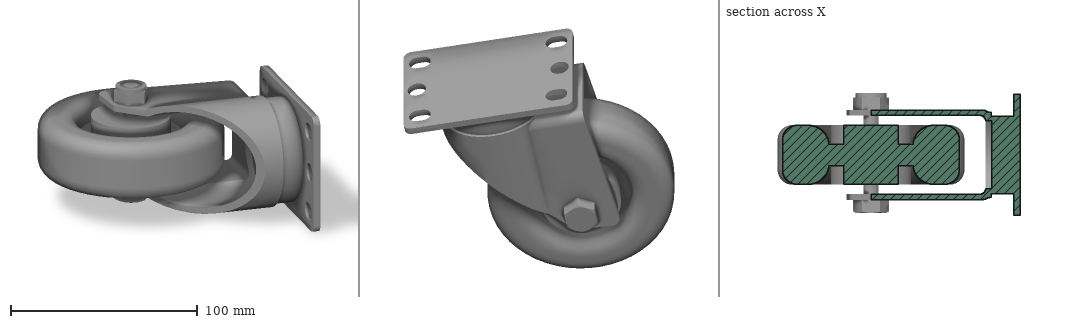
import cadquery as cq
import math


wheel_diameter = 100.0
wheel_radius = wheel_diameter / 2
wheel_half_width = 16.0
tread_round = 8.0
recess_radius = 27.4
recess_round = 10.1
recess_floor_z = wheel_half_width - recess_round
hub_diameter = 43.0
hub_radius = hub_diameter / 2

plate_length = 92.1
plate_height = 65.1
plate_thickness = 3.8
plate_corner_radius = 4.0
swivel_x = 35.0
plate_back_y = 79.9
plate_front_y = plate_back_y - plate_thickness
slot_length = 11.8
slot_width = 8.9
slot_offset_x = 37.2
slot_offset_z = 22.5
side_hole_diameter = 10.0
side_hole_offset_x = 38.9

neck_diameter = 57.0
fork_back_y = 64.5
fork_thickness = 3.1
fork_half_width = 24.1
bend_outer_radius = 5.1
bend_inner_radius = 3.1
shell_diameter = 60.1
shell_radius = shell_diameter / 2
shell_bore_diameter = 53.0
fork_left_x = -19.8
fork_bottom_y = -13.6
fork_top_left_x = -13.5
fork_tip_x = 5.2
fork_tip_y = -11.4
shell_right_x = swivel_x + shell_radius
shell_lip_y = 54.1
fork_corner_radius = 5.2

axle_diameter = 8.0
hex_across_flats = 16.5
hex_across_corners = hex_across_flats / math.cos(math.pi / 6)
nut_hex_height = 6.7
nut_top_z = 33.0
nut_recess_diameter = 12.0
nut_recess_depth = 0.5
head_height = 7.0
head_chamfer_height = 0.7


def cylinder_along_y(diameter, y_start, y_end):
    """Cylinder on the swivel axis between two Y levels."""
    return cq.Workplane("XZ", origin=(swivel_x, y_start, 0)).circle(diameter / 2).extrude(y_start - y_end)


def cylinder_along_z(diameter, z_start, z_end):
    """Cylinder on the wheel axle between two Z levels."""
    return cq.Workplane("XY").workplane(offset=z_start).circle(diameter / 2).extrude(z_end - z_start)


def make_wheel():
    """Revolve half of the wheel section, then mirror it about the middle plane."""
    shoulder_z = wheel_half_width - tread_round
    diagonal = math.sqrt(0.5)
    tread_mid = (
        wheel_radius - tread_round * (1 - diagonal),
        shoulder_z + tread_round * diagonal,
    )
    recess_mid = (
        recess_radius + recess_round * (1 - diagonal),
        recess_floor_z + recess_round * diagonal,
    )
    half = (
        cq.Workplane("XZ")
        .lineTo(wheel_radius, 0)
        .lineTo(wheel_radius, shoulder_z)
        .threePointArc(tread_mid, (wheel_radius - tread_round, wheel_half_width))
        .lineTo(recess_radius + recess_round, wheel_half_width)
        .threePointArc(recess_mid, (recess_radius, recess_floor_z))
        .lineTo(hub_radius, recess_floor_z)
        .lineTo(hub_radius, wheel_half_width)
        .lineTo(0, wheel_half_width)
        .close()
        .revolve(360, (0, 0, 0), (0, 1, 0))
    )
    return half.union(half.mirror("XY"))


def make_plate():
    """Rounded plate with two slots and one round hole along each short side."""
    slot_points = [(x, z) for x in (-slot_offset_x, slot_offset_x) for z in (-slot_offset_z, slot_offset_z)]
    hole_points = [(x, 0) for x in (-side_hole_offset_x, side_hole_offset_x)]
    plate = (
        cq.Workplane("XZ", origin=(swivel_x, plate_back_y, 0))
        .rect(plate_length, plate_height)
        .extrude(plate_thickness)
        .edges("|Y")
        .fillet(plate_corner_radius)
    )
    cutters = (
        cq.Workplane("XZ", origin=(swivel_x, plate_back_y, 0))
        .pushPoints(slot_points)
        .slot2D(slot_length, slot_width)
        .pushPoints(hole_points)
        .circle(side_hole_diameter / 2)
        .extrude(plate_thickness)
    )
    return plate.cut(cutters)


def channel_block(half_width, back_y, bend_radius):
    """Block from the fork's open side to the swivel axis, rounded along its back edges."""
    return (
        cq.Workplane("XY", origin=(0, 0, -half_width))
        .moveTo(fork_left_x, fork_bottom_y)
        .lineTo(swivel_x, fork_bottom_y)
        .lineTo(swivel_x, back_y)
        .lineTo(fork_left_x, back_y)
        .close()
        .extrude(2 * half_width)
        .edges("|X and >Y")
        .fillet(bend_radius)
    )


def fork_side_outline(z_start):
    """Side outline of half the fork, one shell radius deep, with its lower left corner rounded."""
    return (
        cq.Workplane("XY", origin=(0, 0, z_start))
        .moveTo(fork_left_x, fork_bottom_y)
        .lineTo(fork_tip_x, fork_tip_y)
        .lineTo(shell_right_x, shell_lip_y)
        .lineTo(shell_right_x, fork_back_y)
        .lineTo(fork_top_left_x, fork_back_y)
        .close()
        .extrude(shell_radius)
        .edges("|Z and <X")
        .fillet(fork_corner_radius)
    )


def make_fork():
    """U-shaped fork blended into a round shell; only the lower leg has a rounded tip."""
    outer = channel_block(fork_half_width, fork_back_y, bend_outer_radius).union(
        cylinder_along_y(shell_diameter, fork_bottom_y, fork_back_y)
    )
    inner = channel_block(
        fork_half_width - fork_thickness, fork_back_y - fork_thickness, bend_inner_radius
    ).union(cylinder_along_y(shell_bore_diameter, fork_bottom_y, fork_back_y))
    upper_outline = fork_side_outline(0)
    lower_outline = (
        fork_side_outline(-shell_radius)
        .edges(cq.selectors.NearestToPointSelector((fork_tip_x, fork_tip_y, -shell_radius / 2)))
        .fillet(fork_corner_radius)
    )
    outline = upper_outline.union(lower_outline)
    return outer.cut(inner).intersect(outline)


def hex_prism(z_start, height):
    """Hexagon on the axle with its corners pointing along Y."""
    return (
        cq.Workplane("XY")
        .workplane(offset=z_start)
        .transformed(rotate=(0, 0, 90))
        .polygon(6, hex_across_corners)
        .extrude(height)
    )


def make_lock_nut():
    """Hexagon with a round collar, recessed around the axle end."""
    hex_top_z = fork_half_width + nut_hex_height
    collar = cylinder_along_z(hex_across_flats, hex_top_z, nut_top_z)
    recess = cylinder_along_z(nut_recess_diameter, nut_top_z - nut_recess_depth, nut_top_z)
    return hex_prism(fork_half_width, nut_hex_height).union(collar).cut(recess)


def make_bolt_head():
    """Hexagon whose outer corners are cut by a cone."""
    bottom_z = -fork_half_width - head_height
    envelope = (
        cylinder_along_z(hex_across_corners, bottom_z, -fork_half_width)
        .faces("<Z")
        .chamfer(head_chamfer_height, (hex_across_corners - hex_across_flats) / 2)
    )
    return hex_prism(bottom_z, head_height).intersect(envelope)


axle = cylinder_along_z(axle_diameter, -fork_half_width, nut_top_z)
neck = cylinder_along_y(neck_diameter, fork_back_y, plate_front_y)

result = (
    make_plate()
    .union(neck)
    .union(make_fork())
    .union(make_wheel())
    .union(make_lock_nut())
    .union(make_bolt_head())
    .union(axle)
)